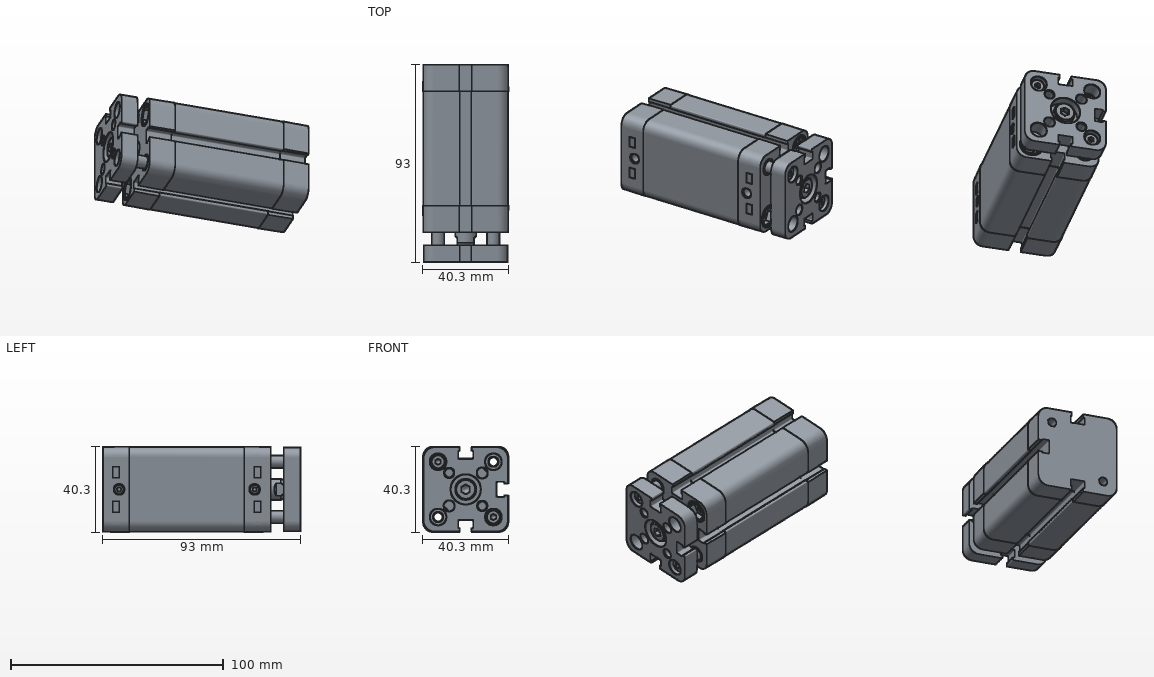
import cadquery as cq
import math


plate_length = 8.0
rod_gap = 6.0
cap_length = 12.5
barrel_length = 54.0
front_cap_end = plate_length + rod_gap
front_joint = front_cap_end + cap_length
rear_joint = front_joint + barrel_length
rear_cap_end = rear_joint + cap_length

plate_side = 39.5
body_side = 40.0
cap_joint_side = 40.3
corner_radius = 4.8

slot_floor = 14.3
cap_slot_floor = 14.6
slot_ledge = 18.2
slot_width = 7.0
slot_corner_radius = 0.5
slot_neck = 5.4
slot_mouth_radius = 0.5
cap_slot_neck = 5.9
slot_angles = (0, 90, 180)

corner_offset = 13.0
guide_corners = ((-corner_offset, corner_offset), (corner_offset, -corner_offset))
bolt_corners = ((corner_offset, corner_offset), (-corner_offset, -corner_offset))
guide_rod_diameter = 6.0
bearing_recess_diameter = 8.0
bearing_recess_depth = 0.2
edge_break = 0.2
plate_bore_diameter = 7.6
plate_screw_diameter = 7.0
plate_screw_inset = 1.8
plate_screw_height = 2.5
plate_screw_chamfer = 0.5
plate_screw_hex = 2.5
plate_screw_hex_depth = 2.0

bolt_recess_diameter = 10.9
bolt_recess_chamfer = 0.1
bolt_recess_depth = 5.0
bolt_head_diameter = 10.0
bolt_head_inset = 0.3
bolt_hex = 8.0
bolt_hex_depth = 3.0
bolt_head_chamfer = 0.2
bolt_bore_diameter = 4.13
bolt_bore_chamfer = 0.4

mount_circle_radius = 11.0
mount_offset = mount_circle_radius * math.sqrt(0.5)
thread_diameter = 5.0
thread_core_diameter = 4.13
thread_chamfer = (thread_diameter - thread_core_diameter) / 2
pin_hole_diameter = 5.0

rod_diameter = 10.0
rod_end_diameter = 9.0
rod_end_taper = 1.2
rod_flat_width = 8.0
rod_flat_length = 3.4
rod_flat_run_out = (rod_diameter - rod_flat_width) / 2
centre_recess_diameter = 14.0
centre_recess_depth = 5.0
centre_screw_diameter = 10.0
centre_screw_inset = 1.0
centre_screw_chamfer = 0.6
centre_screw_hex = 4.0
centre_screw_hex_depth = 3.0
drill_point_angle = 118.0

into_cap = (1, 0, 0)
port_from_end = 7.6
port_chamfer = 0.55
port_depth = 5.5
port_passage_diameter = 2.0
port_passage_depth = 10.0
label_from_end = 6.2
label_length = 3.0
label_height = 5.1
label_offset = 8.1
label_depth = 0.3


def cylinder(x, z, y_start, length, diameter):
    """Solid cylinder along +Y."""
    axis_start = cq.Vector(x, y_start, z)
    return cq.Workplane(cq.Solid.makeCylinder(diameter / 2, length, axis_start, cq.Vector(0, 1, 0)))


def cone(start, direction, length, start_diameter, end_diameter):
    """Solid cone or frustum."""
    solid = cq.Solid.makeCone(
        start_diameter / 2, end_diameter / 2, length, cq.Vector(*start), cq.Vector(*direction)
    )
    return cq.Workplane(solid)


def chamfered_hole(x, z, y_start, length, diameter, chamfer):
    """Hole cutter along +Y with a 45-degree chamfer at its start."""
    mouth = cone((x, y_start, z), (0, 1, 0), chamfer, diameter + 2 * chamfer, diameter)
    return cylinder(x, z, y_start, length, diameter).union(mouth)


def hexagon(x, z, y_start, length, across_flats, corner_angle):
    """Hexagonal prism along +Y with a corner at the given angle from X towards Z."""
    across_corners = across_flats / math.cos(math.pi / 6)
    return (
        cq.Workplane("XZ", origin=(x, y_start, z))
        .transformed(rotate=(0, 0, corner_angle))
        .polygon(6, across_corners)
        .extrude(-length)
    )


def hex_socket(x, z, y_start, depth, across_flats):
    """Hexagonal socket cutter with corners along Z, ending in a drill point."""
    across_corners = across_flats / math.cos(math.pi / 6)
    point_length = across_corners / 2 / math.tan(math.radians(drill_point_angle / 2))
    point = cone((x, y_start + depth, z), (0, 1, 0), point_length, across_corners, 0)
    drilled = cylinder(x, z, y_start, depth, across_corners).union(point)
    return hexagon(x, z, y_start, depth + point_length, across_flats, corner_angle=90).intersect(drilled)


def screw_head(x, z, y_face, height, diameter, chamfer):
    """Cylindrical screw head whose chamfered face looks along -Y."""
    return cylinder(x, z, y_face, height, diameter).faces("<Y").chamfer(chamfer)


def square_bar(side, y_start, length):
    """Square bar along +Y with rounded long edges."""
    return (
        cq.Workplane("XZ", origin=(0, y_start, 0))
        .rect(side, side)
        .extrude(-length)
        .edges("|Y")
        .fillet(corner_radius)
    )


def t_slots(y_start, length, floor, neck, surface, mouth_radius):
    """Cutter for the three T-slots of a section whose sides lie at the given surface distance."""
    channel = (
        cq.Workplane("XY")
        .box(slot_width, length, slot_ledge - floor, centered=(True, False, False))
        .translate((0, y_start, floor))
        .edges("|Y")
        .fillet(slot_corner_radius)
    )
    half_neck = neck / 2
    mouth = cq.Workplane("XZ", origin=(0, y_start, 0)).moveTo(-half_neck, floor + slot_corner_radius)
    if mouth_radius:
        arc_start = surface - mouth_radius
        half_mouth = half_neck + mouth_radius
        mouth = (
            mouth.lineTo(-half_neck, arc_start)
            .radiusArc((-half_mouth, surface), -mouth_radius)
            .lineTo(half_mouth, surface)
            .radiusArc((half_neck, arc_start), -mouth_radius)
        )
    else:
        mouth = mouth.lineTo(-half_neck, surface).lineTo(half_neck, surface)
    mouth = mouth.lineTo(half_neck, floor + slot_corner_radius).close().extrude(-length)
    slot = channel.union(mouth)
    slots = cq.Workplane("XY")
    for angle in slot_angles:
        slots = slots.add(slot.rotate((0, 0, 0), (0, 1, 0), angle))
    return slots.combine()


def make_barrel():
    barrel = square_bar(body_side, front_joint, barrel_length)
    slots = t_slots(
        front_joint, barrel_length, slot_floor, slot_neck, body_side / 2, slot_mouth_radius
    )
    return barrel.cut(slots)


def side_hole(start, depth, diameter):
    """Hole cutter running along +X into a cap."""
    return cq.Workplane(cq.Solid.makeCylinder(diameter / 2, depth, cq.Vector(*start), cq.Vector(*into_cap)))


def make_cap(y_end, y_joint):
    """End cap tapering from the barrel joint to its free end, with port and label pockets."""
    y_start = min(y_end, y_joint)
    inward = math.copysign(1, y_joint - y_end)
    end_face = cq.Sketch().rect(body_side, body_side).vertices().fillet(corner_radius)
    joint_radius = corner_radius + (cap_joint_side - body_side) / 2
    joint_face = cq.Sketch().rect(cap_joint_side, cap_joint_side).vertices().fillet(joint_radius)
    cap = (
        cq.Workplane("XZ", origin=(0, y_end, 0))
        .placeSketch(end_face, joint_face.moved(cq.Location(cq.Vector(0, 0, -inward * cap_length))))
        .loft()
    )
    cap = cap.cut(t_slots(y_start, cap_length, cap_slot_floor, cap_slot_neck, cap_joint_side, 0))

    port_y = y_end + inward * port_from_end
    label_y = y_end + inward * label_from_end
    port_surface = -(body_side + (cap_joint_side - body_side) * port_from_end / cap_length) / 2
    label_surface = -(body_side + (cap_joint_side - body_side) * label_from_end / cap_length) / 2
    chamfer_start = (port_surface - port_chamfer, port_y, 0)
    mouth_diameter = thread_core_diameter + 4 * port_chamfer
    cap = cap.cut(cone(chamfer_start, into_cap, 2 * port_chamfer, mouth_diameter, thread_core_diameter))
    port_start = (port_surface, port_y, 0)
    cap = cap.cut(side_hole(port_start, port_depth, thread_core_diameter))
    cap = cap.cut(side_hole(port_start, port_passage_depth, port_passage_diameter))
    for label_z in (-label_offset, label_offset):
        pocket = cq.Workplane("XY").box(2 * label_depth, label_length, label_height)
        cap = cap.cut(pocket.translate((label_surface, label_y, label_z)))
    return cap


def add_cap_bolts(body):
    """Hollow bolts sunk in the front cap, with their bores running to the rear face."""
    bolt_face = front_cap_end + bolt_head_inset
    head_height = bolt_recess_depth - bolt_head_inset
    for x, z in bolt_corners:
        recess = chamfered_hole(
            x, z, front_cap_end, bolt_recess_depth, bolt_recess_diameter, bolt_recess_chamfer
        )
        head = screw_head(x, z, bolt_face, head_height, bolt_head_diameter, bolt_head_chamfer)
        socket = hexagon(x, z, bolt_face, bolt_hex_depth, bolt_hex, corner_angle=0)
        socket_floor = bolt_face + bolt_hex_depth
        bore_length = rear_cap_end - socket_floor
        bore = chamfered_hole(x, z, socket_floor, bore_length, bolt_bore_diameter, bolt_bore_chamfer)
        body = body.cut(recess).union(head).cut(socket).cut(bore)
    return body


def add_guide_rods(body):
    """Guide rods joining the front cap to the plate, each leaving a shallow bearing recess."""
    for x, z in guide_corners:
        body = body.cut(cylinder(x, z, front_cap_end, bearing_recess_depth, bearing_recess_diameter))
        rod_length = rod_gap + bearing_recess_depth
        body = body.union(cylinder(x, z, plate_length, rod_length, guide_rod_diameter))
    return body


def make_piston_rod():
    """Piston rod between cap and plate, with two wrench flats and a tapered end."""
    rod = cylinder(0, 0, plate_length + rod_end_taper, rod_gap - rod_end_taper, rod_diameter)
    rod_end = cone((0, plate_length, 0), (0, 1, 0), rod_end_taper, rod_end_diameter, rod_diameter)
    rod = rod.union(rod_end)
    flat_end = plate_length + rod_flat_length
    half_flat = rod_flat_width / 2
    flat_cut = (
        cq.Workplane("XY")
        .moveTo(half_flat, plate_length)
        .lineTo(half_flat, flat_end)
        .lineTo(half_flat + rod_flat_run_out, flat_end + rod_flat_run_out)
        .lineTo(half_flat + rod_flat_run_out, plate_length)
        .close()
        .extrude(rod_diameter / 2, both=True)
    )
    return rod.cut(flat_cut).cut(flat_cut.mirror("YZ"))


def make_plate():
    plate = square_bar(plate_side, 0, plate_length)
    plate = plate.cut(t_slots(0, plate_length, slot_floor, slot_neck, plate_side / 2, slot_mouth_radius))

    for x, z in bolt_corners:
        plate = plate.cut(chamfered_hole(x, z, 0, plate_length, plate_bore_diameter, edge_break))
        pin_x = math.copysign(mount_offset, x)
        pin_z = math.copysign(mount_offset, z)
        plate = plate.cut(chamfered_hole(pin_x, pin_z, 0, plate_length, pin_hole_diameter, edge_break))

    screw_bore_depth = plate_screw_inset + plate_screw_height
    for x, z in guide_corners:
        plate = plate.cut(chamfered_hole(x, z, 0, screw_bore_depth, plate_bore_diameter, edge_break))
        head = screw_head(
            x, z, plate_screw_inset, plate_screw_height, plate_screw_diameter, plate_screw_chamfer
        )
        socket = hex_socket(x, z, plate_screw_inset, plate_screw_hex_depth, plate_screw_hex)
        plate = plate.union(head).cut(socket)
        thread_x = math.copysign(mount_offset, x)
        thread_z = math.copysign(mount_offset, z)
        plate = plate.cut(
            chamfered_hole(thread_x, thread_z, 0, plate_length, thread_core_diameter, thread_chamfer)
        )

    plate = plate.cut(chamfered_hole(0, 0, 0, centre_recess_depth, centre_recess_diameter, edge_break))
    centre_screw_height = centre_recess_depth - centre_screw_inset
    head = screw_head(
        0, 0, centre_screw_inset, centre_screw_height, centre_screw_diameter, centre_screw_chamfer
    )
    socket = hex_socket(0, 0, centre_screw_inset, centre_screw_hex_depth, centre_screw_hex)
    return plate.union(head).cut(socket)


body = make_cap(front_cap_end, front_joint).union(make_barrel()).union(make_cap(rear_cap_end, rear_joint))
body = add_guide_rods(add_cap_bolts(body))
result = body.union(make_piston_rod()).union(make_plate())